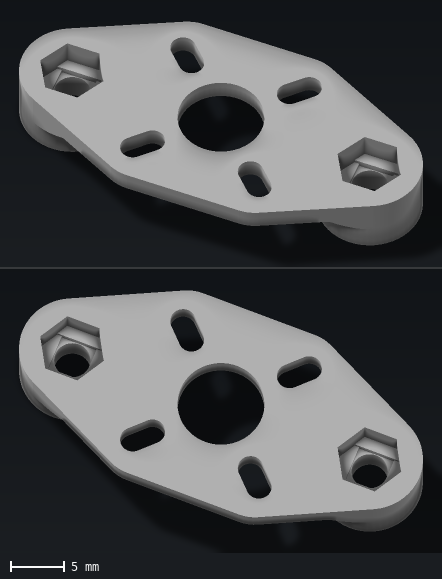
import cadquery as cq
import math

length = 39.97
height = 6.0
plate_thickness = 2.0
boss_radius = 5.0
boss_x = length / 2 - boss_radius
flare = 1.5

center_hole_diameter = 8.15
slot_circle_radius = 8.0
slot_width = 2.4
slot_travel = 2.0
slot_angles = (45, 135, 225, 315)
corner_radius = 4.0
corner_offset = slot_circle_radius * math.sin(math.radians(45))

screw_diameter = 3.4
nut_corner_diameter = 6.48
nut_depth = 2.55
step_depth = 0.3
step_width = 3.5


run = boss_x - corner_offset
center_distance = math.hypot(run, corner_offset)
tilt = math.atan2(corner_offset, run) - math.asin((boss_radius - corner_radius) / center_distance)


def corner_point(angle):
    """Point of the corner circle at an angle measured from +Y towards +X."""
    return (
        corner_offset + corner_radius * math.sin(angle),
        corner_offset + corner_radius * math.cos(angle),
    )


boss_tangent = (boss_x + boss_radius * math.sin(tilt), boss_radius * math.cos(tilt))
corner_tangent = corner_point(tilt)
corner_middle = corner_point(tilt / 2)
flat_end = corner_point(0)


def plate_outline():
    """Outline tangent to the boss circles and the four corner circles."""
    def flip(point, sign_x, sign_y):
        return (sign_x * point[0], sign_y * point[1])

    outline = cq.Workplane("XY").moveTo(*flip(flat_end, -1, 1))
    for side in (1, -1):
        outline = (
            outline.lineTo(*flip(flat_end, side, side))
            .threePointArc(flip(corner_middle, side, side), flip(corner_tangent, side, side))
            .lineTo(*flip(boss_tangent, side, side))
            .threePointArc((side * length / 2, 0), flip(boss_tangent, side, -side))
            .lineTo(*flip(corner_tangent, side, -side))
            .threePointArc(flip(corner_middle, side, -side), flip(flat_end, side, -side))
        )
    return outline.close()


def boss():
    """Round boss on the +X end, with a 45 degree flare trimmed to the sloped plate edges."""
    plate_bottom = height - plate_thickness
    profile = [
        (0, plate_bottom - flare),
        (boss_radius, plate_bottom - flare),
        (boss_radius + flare, plate_bottom),
        (0, plate_bottom),
    ]
    cone = cq.Workplane("XZ").polyline(profile).close().revolve(360, (0, 0), (0, 1)).translate((boss_x, 0, 0))
    tangent_x, tangent_y = boss_tangent
    edge_x, edge_y = corner_tangent
    trim = [(edge_x, -edge_y), (tangent_x, -tangent_y), (tangent_x, tangent_y), (edge_x, edge_y)]
    cone = cone.intersect(cq.Workplane("XY").polyline(trim).close().extrude(height))
    return cq.Workplane("XY").center(boss_x, 0).circle(boss_radius).extrude(height).union(cone)


def nut_pocket(x):
    """Hexagonal pocket, a full-width channel, a square recess and the screw hole."""
    channel_bottom = height - nut_depth - step_depth
    hexagon = cq.Workplane("XY").polygon(6, nut_corner_diameter).extrude(height)
    nut = hexagon.translate((0, 0, height - nut_depth))
    channel = cq.Workplane("XY").rect(nut_corner_diameter, step_width).extrude(height).intersect(hexagon)
    channel = channel.translate((0, 0, channel_bottom))
    square = cq.Workplane("XY").rect(step_width, step_width).extrude(height)
    square = square.translate((0, 0, channel_bottom - step_depth))
    screw_hole = cq.Workplane("XY").circle(screw_diameter / 2).extrude(height)
    return nut.union(channel).union(square).union(screw_hole).translate((x, 0, 0))


def mounting_slot(angle):
    """Rounded slot lying along a radius of the plate."""
    slot = cq.Workplane("XY").center(slot_circle_radius, 0).slot2D(slot_travel + slot_width, slot_width)
    return slot.extrude(height).rotate((0, 0, 0), (0, 0, 1), angle)


result = plate_outline().extrude(plate_thickness).translate((0, 0, height - plate_thickness))
for turn in (0, 180):
    result = result.union(boss().rotate((0, 0, 0), (0, 0, 1), turn))

result = result.cut(cq.Workplane("XY").circle(center_hole_diameter / 2).extrude(height))
for slot_angle in slot_angles:
    result = result.cut(mounting_slot(slot_angle))
for pocket_x in (-boss_x, boss_x):
    result = result.cut(nut_pocket(pocket_x))